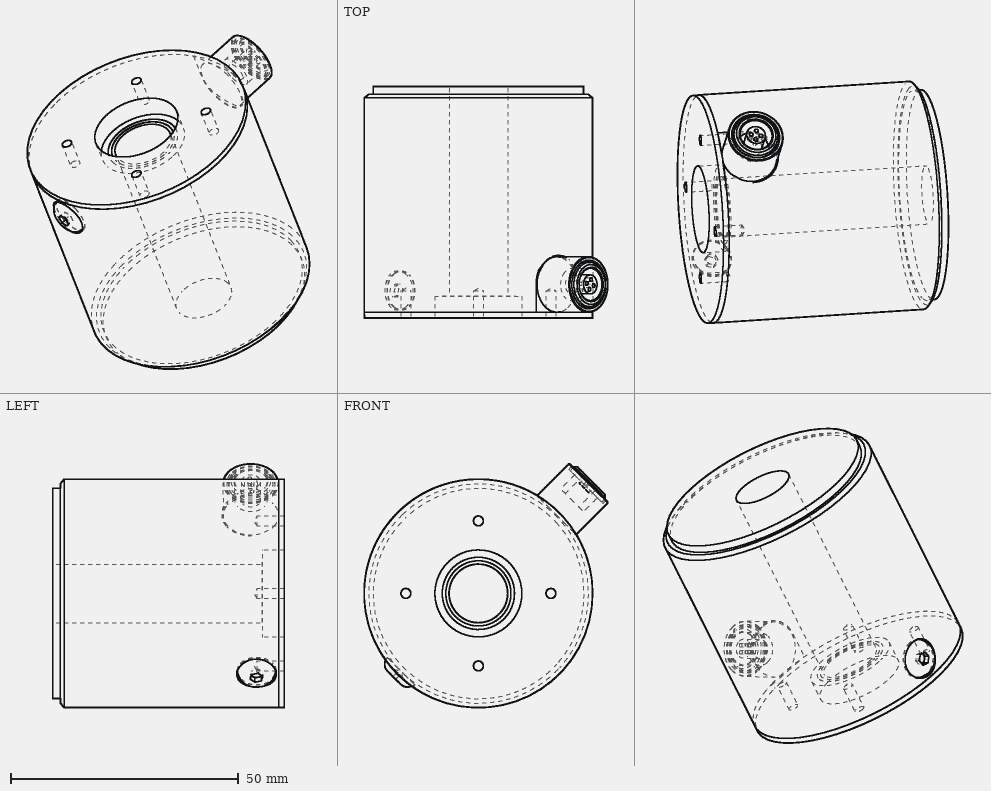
import cadquery as cq
import math


body_diameter = 50.16
body_radius = body_diameter / 2
overall_length = 50.8
pilot_length = 1.7
pilot_diameter = 46.2
body_length = overall_length - pilot_length
rear_chamfer_axial = 0.8
rear_chamfer_radial = 1.0
cover_thickness = 1.25
cover_diameter = 50.1

counterbore_depth = 4.8
step_depth = 0.05
through_diameter = 12.8
bore_steps = (
    (19.07, counterbore_depth),
    (15.86, counterbore_depth + step_depth),
    (14.3, counterbore_depth + 2 * step_depth),
)

drill_point_angle = 118.0

mount_hole_count = 4
mount_hole_diameter = 2.16
mount_circle_radius = 15.9
mount_hole_depth = 6.0

connector_y = 7.38
connector_radius = 6.07
connector_end = 34.27
connector_edge_chamfer = 0.15
seat_radius = 6.35
seat_height = math.sqrt(body_radius**2 - seat_radius**2)
flat_distance = 5.95
flat_angle = -37.0
groove_radius = 5.3
groove_depth = 1.0
collar_radius = 9.75 / 2
collar_height = 0.7
collar_chamfer = 0.5
socket_radius = 3.55
socket_chamfer = 0.2
socket_depth = 6.0
insert_radius = 4.17 / 2
insert_height = 0.45
contact_count = 4
contact_diameter = 0.8
contact_circle_radius = 1.08
contact_angle = -13.0
contact_depth = 2.0

screw_y = 6.1
screw_head_radius = 8.36 / 2
screw_seat_radius = 8.64 / 2
screw_top = 26.15
screw_flat_radius = 4.17 / 2
screw_round_radius = screw_head_radius - screw_flat_radius
screw_seat_height = screw_top - screw_round_radius
hex_across_flats = 2.5
hex_angle = -14.0
hex_depth = 1.35

front_plane = cq.Plane(origin=(0, 0, 0), xDir=(1, 0, 0), normal=(0, 1, 0))

outward = ">(1, 0, 1)"


def radial_plane(y, height, direction):
    """Plane at a height from the body axis, facing outward at 45 degrees.

    Direction +1 faces +X +Z and -1 faces -X -Z; the local y axis is +Y in both cases.
    """
    offset = direction * height / math.sqrt(2)
    return cq.Plane(
        origin=(offset, y, offset),
        xDir=(direction, 0, -direction),
        normal=(direction, 0, direction),
    )


def disc(plane, radius, height):
    return cq.Workplane(plane).circle(radius).extrude(height)


def make_body():
    chamfer_start = body_length - rear_chamfer_axial
    pilot_radius = pilot_diameter / 2
    cover_radius = cover_diameter / 2
    profile = [
        (0, 0),
        (cover_radius, 0),
        (cover_radius, cover_thickness),
        (body_radius, cover_thickness),
        (body_radius, chamfer_start),
        (body_radius - rear_chamfer_radial, body_length),
        (pilot_radius, body_length),
        (pilot_radius, overall_length),
        (0, overall_length),
    ]
    return cq.Workplane("XY").polyline(profile).close().revolve(360, (0, 0), (0, 1))


def make_bore():
    bore = disc(front_plane, through_diameter / 2, overall_length)
    for diameter, depth in bore_steps:
        bore = bore.union(disc(front_plane, diameter / 2, depth))
    return bore


def pointed_hole(plane, radius, depth):
    """Cutter for a blind drilled hole, running from the plane along its normal and ending in a cone."""
    point_length = radius / math.tan(math.radians(drill_point_angle / 2))
    point = cq.Solid.makeCone(radius, 0, point_length, pnt=plane.toWorldCoords((0, 0, depth)), dir=plane.zDir)
    return disc(plane, radius, depth).union(cq.Workplane(point))


def make_mount_holes():
    hole = pointed_hole(front_plane, mount_hole_diameter / 2, mount_hole_depth)
    hole = hole.translate((mount_circle_radius, 0, 0))
    holes = cq.Workplane("XY")
    for index in range(mount_hole_count):
        angle = index * 360 / mount_hole_count
        holes = holes.add(hole.rotate((0, 0, 0), (0, 1, 0), angle))
    return holes.combine()


def make_connector_seat():
    """Flat U-shaped pocket, round at the rear and running forward to the front cover."""
    plane = radial_plane(connector_y, seat_height, 1)
    run = connector_y - cover_thickness
    clearance = body_radius - seat_height
    return (
        cq.Workplane(plane)
        .moveTo(-seat_radius, -run)
        .lineTo(-seat_radius, 0)
        .threePointArc((0, seat_radius), (seat_radius, 0))
        .lineTo(seat_radius, -run)
        .close()
        .extrude(clearance)
    )


def make_connector():
    base_plane = radial_plane(connector_y, seat_height, 1)
    end_plane = radial_plane(connector_y, connector_end, 1)
    length = connector_end - seat_height
    shell = disc(base_plane, connector_radius, length).faces(outward).chamfer(connector_edge_chamfer)

    between_flats = (
        cq.Workplane(base_plane)
        .transformed(rotate=(0, 0, flat_angle))
        .rect(2 * flat_distance, 2 * connector_radius)
        .extrude(length)
    )
    shell = shell.intersect(between_flats)

    shell = shell.cut(disc(end_plane, groove_radius, -groove_depth))
    collar = disc(end_plane, collar_radius, collar_height + groove_depth).translate(
        end_plane.zDir.multiply(-groove_depth)
    )
    collar = collar.faces(outward).chamfer(collar_chamfer)
    shell = shell.union(collar)

    collar_plane = radial_plane(connector_y, connector_end + collar_height, 1)
    shell = shell.cut(disc(collar_plane, socket_radius, -socket_depth))
    mouth_radius = socket_radius + socket_chamfer
    mouth = cq.Workplane(collar_plane).circle(mouth_radius).workplane(offset=-socket_chamfer)
    shell = shell.cut(mouth.circle(socket_radius).loft())
    insert_plane = radial_plane(connector_y, connector_end + insert_height, 1)
    shell = shell.union(disc(insert_plane, insert_radius, -socket_depth))
    contacts = (
        cq.Workplane(insert_plane)
        .polarArray(contact_circle_radius, contact_angle, 360, contact_count)
        .circle(contact_diameter / 2)
        .extrude(-contact_depth)
    )
    return shell.cut(contacts)


def make_screw():
    plane = radial_plane(screw_y, screw_seat_height, -1)
    arc_reach = screw_round_radius * math.sqrt(0.5)
    head = (
        cq.Workplane(plane)
        .transformed(rotate=(90, 0, 0))
        .lineTo(screw_head_radius, 0)
        .threePointArc(
            (screw_flat_radius + arc_reach, arc_reach),
            (screw_flat_radius, screw_round_radius),
        )
        .lineTo(0, screw_round_radius)
        .close()
        .revolve(360, (0, 0), (0, 1))
    )

    hex_diameter = hex_across_flats / math.cos(math.pi / 6)
    socket_plane = radial_plane(screw_y, screw_top, -1)
    hexagon = (
        cq.Workplane(socket_plane)
        .transformed(rotate=(0, 0, hex_angle))
        .polygon(6, hex_diameter)
        .extrude(-hex_depth)
    )
    drill_plane = cq.Plane(socket_plane.origin, xDir=socket_plane.xDir, normal=-socket_plane.zDir)
    pilot = pointed_hole(drill_plane, hex_across_flats / 2, hex_depth)
    return head.cut(hexagon).cut(pilot)


def make_screw_seat():
    plane = radial_plane(screw_y, screw_seat_height, -1)
    return disc(plane, screw_seat_radius, body_radius - screw_seat_height)


body = make_body().cut(make_bore()).cut(make_mount_holes())
body = body.cut(make_connector_seat()).cut(make_screw_seat())
result = body.union(make_connector()).union(make_screw())